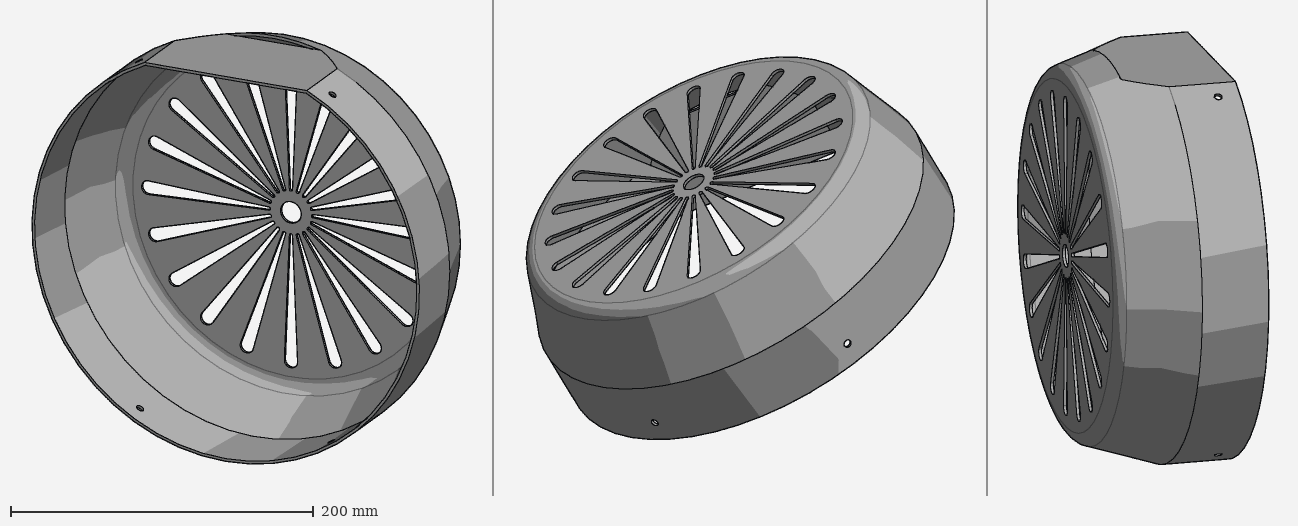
import cadquery as cq
import math

outer_radius = 142.5
back_radius = 124.8
depth = 100.0
straight_depth = 45.5
wall = 2.0
corner_radius = 10.0

flat_height = 129.5
flat_depth = 71.5

slot_count = 20
slot_inner_radius = 15.0
slot_tip_radius = 109.7
slot_narrow_radius = 1.0
slot_tip_round = 4.8
centre_hole_diameter = 15.0

plate_cut_length = 3 * wall

rim_hole_diameter = 5.0
rim_hole_depth = 15.0
rim_hole_angles = (30, 150, 210, 330)


def cup(offset):
    """Solid of revolution about Y, inset from the outer surface by offset, with the flat cut away."""
    half_cone_angle = math.atan2(outer_radius - back_radius, depth - straight_depth) / 2
    rim_radius = outer_radius - offset
    cone_start = straight_depth - offset * math.tan(half_cone_angle)
    back = depth - offset
    cone_slope = math.tan(2 * half_cone_angle)
    back_edge_radius = rim_radius - cone_slope * (back - cone_start)
    body = (
        cq.Workplane("XY")
        .lineTo(rim_radius, 0)
        .lineTo(rim_radius, cone_start)
        .lineTo(back_edge_radius, back)
        .lineTo(0, back)
        .close()
        .revolve(360, (0, 0, 0), (0, 1, 0))
        .faces(">Y")
        .edges()
        .fillet(corner_radius)
    )
    flat_cut = cq.Workplane("XY").box(
        2 * outer_radius, flat_depth, outer_radius, centered=(True, False, False)
    ).translate((0, 0, flat_height - offset))
    return body.cut(flat_cut)


def slot_cutter():
    """Tapered slot along +Z through the back plate, its sides tangent to a small and a large end arc."""
    narrow_centre = slot_inner_radius + slot_narrow_radius
    tip_centre = slot_tip_radius - slot_tip_round
    tilt = math.asin((slot_tip_round - slot_narrow_radius) / (tip_centre - narrow_centre))
    narrow_x = slot_narrow_radius * math.cos(tilt)
    narrow_z = narrow_centre - slot_narrow_radius * math.sin(tilt)
    tip_x = slot_tip_round * math.cos(tilt)
    tip_z = tip_centre - slot_tip_round * math.sin(tilt)
    return (
        cq.Workplane("XZ", origin=(0, depth + wall, 0))
        .moveTo(-narrow_x, narrow_z)
        .lineTo(-tip_x, tip_z)
        .threePointArc((0, slot_tip_radius), (tip_x, tip_z))
        .lineTo(narrow_x, narrow_z)
        .threePointArc((0, slot_inner_radius), (-narrow_x, narrow_z))
        .close()
        .extrude(plate_cut_length)
    )


def rim_hole_cutter():
    """Pin along +Z from the axis out through the rim."""
    return (
        cq.Workplane("XY", origin=(0, rim_hole_depth, 0))
        .circle(rim_hole_diameter / 2)
        .extrude(outer_radius + wall)
    )


def about_axis(shape, angle):
    """Shape turned around the Y axis by angle degrees."""
    return shape.rotate((0, 0, 0), (0, 1, 0), angle)


result = cup(0).cut(cup(wall))

slot = slot_cutter()
for index in range(slot_count):
    result = result.cut(about_axis(slot, index * 360 / slot_count))

centre_hole = (
    cq.Workplane("XZ", origin=(0, depth + wall, 0))
    .circle(centre_hole_diameter / 2)
    .extrude(plate_cut_length)
)
result = result.cut(centre_hole)

rim_hole = rim_hole_cutter()
for angle in rim_hole_angles:
    result = result.cut(about_axis(rim_hole, angle))